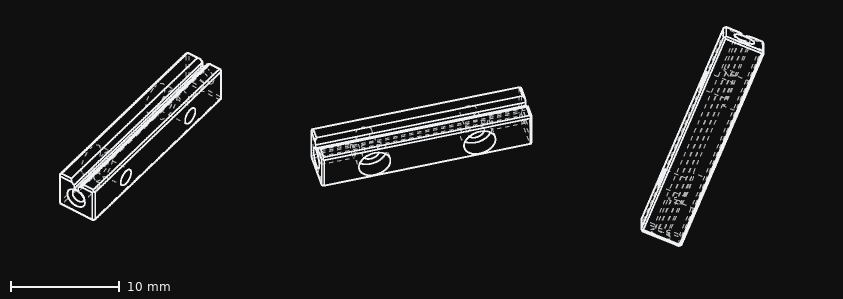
import cadquery as cq
import math

WIDTH = 4.0
LENGTH = 20.0
HEIGHT = 3.9
EDGE_CHAMFER = 0.2

GROOVE_TOP_WIDTH = 1.4
SLOT_WIDTH = 0.5
SLOT_FLOOR_Z = 3.0

SCREW_SPACING = 10.0
SCREW_AXIS_Z = 1.8
SCREW_DIAMETER = 1.6
COUNTERBORE_DIAMETER = 3.0
COUNTERBORE_DEPTH = 1.4

END_HOLE_DIAMETER = 1.32
END_HOLE_DEPTH = 3.4
COUNTERSINK_DIAMETER = 2.0
COUNTERSINK_ANGLE = 90.0
DRILL_POINT_ANGLE = 118.0
END_HOLE_AXIS_Z = HEIGHT / 2


def cone_height(radius_change, full_angle):
    """Axial length over which a cone changes its radius by the given amount."""
    return radius_change / math.tan(math.radians(full_angle / 2))


def make_bar():
    """Bar with all edges chamfered, the chamfers meeting in mitred corners."""
    block = cq.Workplane("XY").box(WIDTH, LENGTH, HEIGHT, centered=(True, True, False))
    bar = block
    for axis in ("X", "Y", "Z"):
        bar = bar.intersect(block.edges("|" + axis).chamfer(EDGE_CHAMFER))
    return bar


def make_groove():
    half_top = GROOVE_TOP_WIDTH / 2
    half_slot = SLOT_WIDTH / 2
    flank_foot_z = HEIGHT - (half_top - half_slot)
    outline = [
        (-half_top, HEIGHT),
        (-half_slot, flank_foot_z),
        (-half_slot, SLOT_FLOOR_Z),
        (half_slot, SLOT_FLOOR_Z),
        (half_slot, flank_foot_z),
        (half_top, HEIGHT),
    ]
    return cq.Workplane("XZ").polyline(outline).close().extrude(LENGTH / 2, both=True)


def make_screw_holes():
    centres = [(-SCREW_SPACING / 2, SCREW_AXIS_Z), (SCREW_SPACING / 2, SCREW_AXIS_Z)]
    side = cq.Workplane("YZ", origin=(-WIDTH / 2, 0, 0)).pushPoints(centres)
    through_holes = side.circle(SCREW_DIAMETER / 2).extrude(WIDTH)
    counterbores = side.circle(COUNTERBORE_DIAMETER / 2).extrude(COUNTERBORE_DEPTH)
    return through_holes.union(counterbores)


def make_front_end_hole():
    """Blind hole revolved about its axis, entering from the -Y end."""
    hole_radius = END_HOLE_DIAMETER / 2
    mouth_radius = COUNTERSINK_DIAMETER / 2
    mouth_y = -LENGTH / 2
    countersink_y = mouth_y + cone_height(mouth_radius - hole_radius, COUNTERSINK_ANGLE)
    shoulder_y = mouth_y + END_HOLE_DEPTH
    tip_y = shoulder_y + cone_height(hole_radius, DRILL_POINT_ANGLE)
    half_section = [
        (0, mouth_y),
        (mouth_radius, mouth_y),
        (hole_radius, countersink_y),
        (hole_radius, shoulder_y),
        (0, tip_y),
    ]
    profile = cq.Workplane("XY", origin=(0, 0, END_HOLE_AXIS_Z)).polyline(half_section).close()
    return profile.revolve(360, (0, 0, 0), (0, 1, 0))


front_end_hole = make_front_end_hole()
back_end_hole = front_end_hole.mirror("XZ")

result = (
    make_bar()
    .cut(make_groove())
    .cut(make_screw_holes())
    .cut(front_end_hole)
    .cut(back_end_hole)
)